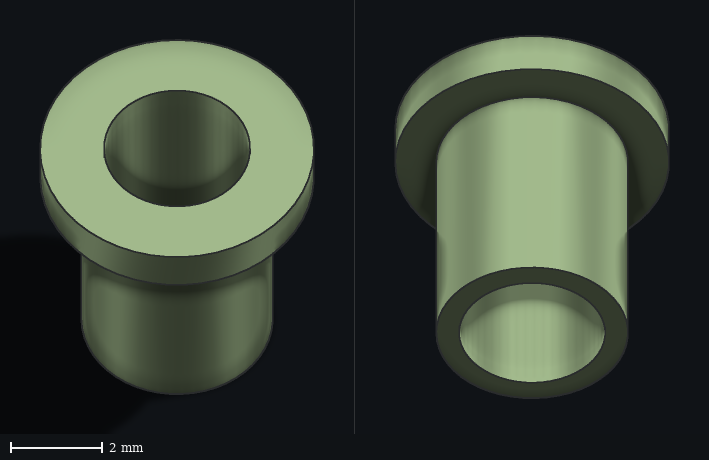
import cadquery as cq

flange_diameter = 6.0
flange_thickness = 1.0
sleeve_diameter = 4.2
bore_diameter = 3.2
total_height = 6.1

sleeve_length = total_height - flange_thickness


def make_sleeve():
    return cq.Workplane("XY").circle(sleeve_diameter / 2).extrude(sleeve_length)


def add_flange(body):
    """Add the flange on top of the sleeve."""
    flange = (
        cq.Workplane("XY")
        .workplane(offset=sleeve_length)
        .circle(flange_diameter / 2)
        .extrude(flange_thickness)
    )
    return body.union(flange)


def cut_bore(body):
    """Cut the bore through the whole height."""
    bore = cq.Workplane("XY").circle(bore_diameter / 2).extrude(total_height)
    return body.cut(bore)


result = cut_bore(add_flange(make_sleeve()))